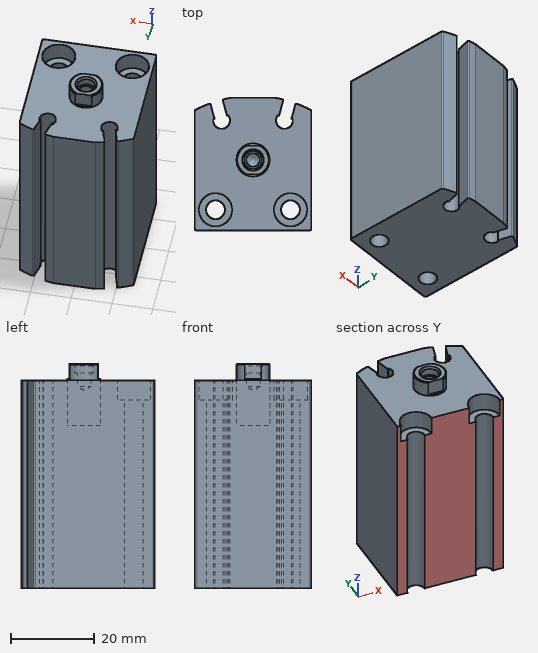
import cadquery as cq
import math

TOTAL_HEIGHT = 54.0
HOUSING_HEIGHT = 50.0
HOUSING_WIDTH = 28.0
FRONT_Y = -17.0
BACK_Y = 15.0
SHOULDER_Y = 12.0
CROWN_RADIUS = 30.0
CORNER_RADIUS = 0.5

MOUNT_X = 9.0
MOUNT_Y = -12.0
MOUNT_DIAMETER = 4.5
COUNTERBORE_DIAMETER = 8.0
COUNTERBORE_DEPTH = 4.6

GROOVE_X = 7.55
GROOVE_Y = 9.5
GROOVE_DIAMETER = 4.0
GROOVE_LIP = 0.8
NECK_WIDTH = 3.0
NECK_REACH = 8.65
MOUTH_RADIUS = 0.3
MOUTH_INNER_X = 5.95
MOUTH_OUTER_X = 11.35
GROOVE_TILT = 15.0

ROD_DIAMETER = 8.0
ROD_INSERTION = 10.8
ROD_CHAMFER = 0.2
FLATS_ACROSS = 6.9
FLATS_BASE_GAP = 0.4

SOCKET_MOUTH_DIAMETER = 5.2
SOCKET_DIAMETER = 4.3
SOCKET_DEPTH = 2.15
DRILL_DIAMETER = 3.25
DRILL_DEPTH = 5.4
DRILL_POINT_ANGLE = 118.0

ROD_BASE_Z = HOUSING_HEIGHT - ROD_INSERTION


def make_blank():
    """Block with a flat-topped, crowned back and four rounded side corners."""
    half_width = HOUSING_WIDTH / 2
    crown_center_y = SHOULDER_Y - math.sqrt(CROWN_RADIUS**2 - half_width**2)
    flat_half = math.sqrt(CROWN_RADIUS**2 - (BACK_Y - crown_center_y) ** 2)
    arc_x = (half_width + flat_half) / 2
    arc_y = crown_center_y + math.sqrt(CROWN_RADIUS**2 - arc_x**2)
    blank = (
        cq.Workplane("XY")
        .moveTo(-half_width, FRONT_Y)
        .lineTo(half_width, FRONT_Y)
        .lineTo(half_width, SHOULDER_Y)
        .threePointArc((arc_x, arc_y), (flat_half, BACK_Y))
        .lineTo(-flat_half, BACK_Y)
        .threePointArc((-arc_x, arc_y), (-half_width, SHOULDER_Y))
        .close()
        .extrude(HOUSING_HEIGHT)
    )
    return blank.edges("|Z and (<X or >X)").fillet(CORNER_RADIUS)


def make_groove(side):
    """Cutter for one sensor groove; side is -1 (left) or 1 (right)."""
    channel = cq.Workplane("XY").circle(GROOVE_DIAMETER / 2).extrude(HOUSING_HEIGHT)
    below_lip = (
        cq.Workplane("XY")
        .center(0, GROOVE_LIP - GROOVE_DIAMETER / 2)
        .rect(GROOVE_DIAMETER, GROOVE_DIAMETER)
        .extrude(HOUSING_HEIGHT)
    )
    neck = (
        cq.Workplane("XY")
        .center(0, NECK_REACH / 2)
        .rect(NECK_WIDTH, NECK_REACH)
        .extrude(HOUSING_HEIGHT)
    )
    cutter = channel.intersect(below_lip).union(neck)
    cutter = cutter.rotate((0, 0, 0), (0, 0, 1), -side * GROOVE_TILT)
    return cutter.translate((side * GROOVE_X, GROOVE_Y, 0))


def round_groove_mouths(housing):
    """Round both vertical edges where each groove neck breaks out through the crowned back."""
    for side in (-1, 1):
        inner_x = side * MOUTH_INNER_X
        outer_x = side * MOUTH_OUTER_X
        region = cq.selectors.BoxSelector(
            (min(inner_x, outer_x), SHOULDER_Y + CORNER_RADIUS, 0),
            (max(inner_x, outer_x), BACK_Y, HOUSING_HEIGHT),
        )
        housing = housing.edges("|Z").edges(region).fillet(MOUTH_RADIUS)
    return housing


def make_housing():
    housing = make_blank()
    for side in (-1, 1):
        housing = housing.cut(make_groove(side))
    housing = round_groove_mouths(housing)
    housing = (
        housing.faces(">Z")
        .workplane(origin=(0, 0, HOUSING_HEIGHT))
        .pushPoints([(-MOUNT_X, MOUNT_Y), (MOUNT_X, MOUNT_Y)])
        .cboreHole(MOUNT_DIAMETER, COUNTERBORE_DIAMETER, COUNTERBORE_DEPTH)
    )
    rod_bore = (
        cq.Workplane("XY", origin=(0, 0, ROD_BASE_Z))
        .circle(ROD_DIAMETER / 2)
        .extrude(ROD_INSERTION)
    )
    return housing.cut(rod_bore)


def make_socket():
    """Revolved cutter: countersunk mouth, socket, smaller drill and its cone point."""
    mouth_radius = SOCKET_MOUTH_DIAMETER / 2
    socket_radius = SOCKET_DIAMETER / 2
    drill_radius = DRILL_DIAMETER / 2
    countersink_depth = mouth_radius - socket_radius
    point_depth = drill_radius / math.tan(math.radians(DRILL_POINT_ANGLE / 2))
    return (
        cq.Workplane("XZ")
        .moveTo(0, TOTAL_HEIGHT)
        .lineTo(mouth_radius, TOTAL_HEIGHT)
        .lineTo(socket_radius, TOTAL_HEIGHT - countersink_depth)
        .lineTo(socket_radius, TOTAL_HEIGHT - SOCKET_DEPTH)
        .lineTo(drill_radius, TOTAL_HEIGHT - SOCKET_DEPTH)
        .lineTo(drill_radius, TOTAL_HEIGHT - DRILL_DEPTH)
        .lineTo(0, TOTAL_HEIGHT - DRILL_DEPTH - point_depth)
        .close()
        .revolve()
    )


def make_rod():
    rod = (
        cq.Workplane("XY", origin=(0, 0, ROD_BASE_Z))
        .circle(ROD_DIAMETER / 2)
        .extrude(TOTAL_HEIGHT - ROD_BASE_Z)
        .faces(">Z")
        .chamfer(ROD_CHAMFER)
    )
    flats_base_z = HOUSING_HEIGHT + FLATS_BASE_GAP
    for side in (-1, 1):
        flat_cut = (
            cq.Workplane("XY", origin=(0, 0, flats_base_z))
            .center(0, side * (FLATS_ACROSS + ROD_DIAMETER) / 2)
            .rect(ROD_DIAMETER, ROD_DIAMETER)
            .extrude(TOTAL_HEIGHT - flats_base_z)
        )
        rod = rod.cut(flat_cut)
    return rod.cut(make_socket())


housing = make_housing()
rod = make_rod()
result = cq.Compound.makeCompound([housing.val(), rod.val()])